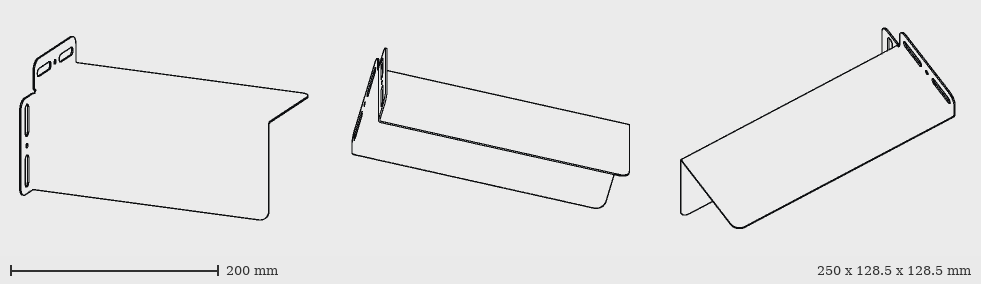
import cadquery as cq


thickness = 1.5
bend_inner = 1.5
bend_outer = bend_inner + thickness

length = 250.0
panel_width = 100.0
flange_height = 28.5
corner_radius = 10.0

slot_width = 8.0
slot_length = 32.0
slot_spacing = 51.0
pilot_diameter = 4.2
hole_row_height = flange_height / 2

flat_width = panel_width - bend_outer
flange_middle = (panel_width + bend_outer) / 2


def panel_and_flange():
    """Horizontal panel with its upward flange, joined by a bend, before holes are cut."""
    profile = (
        cq.Workplane("XZ", origin=(0, bend_outer, 0))
        .moveTo(length, 0)
        .lineTo(bend_outer, 0)
        .radiusArc((thickness, bend_inner), bend_inner)
        .lineTo(thickness, flange_height)
        .lineTo(0, flange_height)
        .lineTo(0, bend_inner)
        .radiusArc((bend_outer, -thickness), -bend_outer)
        .lineTo(length, -thickness)
        .close()
    )
    sheet = profile.extrude(-flat_width)
    sheet = sheet.faces(">Z").edges("|X").fillet(corner_radius)
    return sheet.faces(">X").edges("|Z and >Y").fillet(corner_radius)


def flange_holes():
    """Two slots and a pilot hole in one row along the flange."""
    row = cq.Workplane("YZ", origin=(0, flange_middle, hole_row_height))
    slots = (
        row.pushPoints([(-slot_spacing / 2, 0), (slot_spacing / 2, 0)])
        .slot2D(slot_length, slot_width)
        .extrude(thickness)
    )
    pilot = row.circle(pilot_diameter / 2).extrude(thickness)
    return slots.union(pilot)


def panel_bend():
    """Quarter-round bend joining the two panels; it starts clear of the flange bends."""
    return (
        cq.Workplane("YZ", origin=(bend_outer, 0, 0))
        .moveTo(bend_outer, 0)
        .radiusArc((0, -bend_outer), -bend_outer)
        .lineTo(thickness, -bend_outer)
        .radiusArc((bend_outer, -thickness), bend_inner)
        .close()
        .extrude(length - bend_outer)
    )


top_wing = panel_and_flange().cut(flange_holes())
front_wing = top_wing.mirror((0, 1, 1), (0, 0, 0))

result = top_wing.union(panel_bend()).union(front_wing)